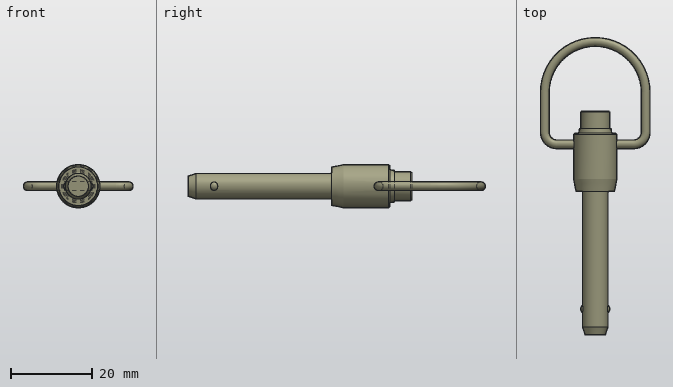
import cadquery as cq

shank_diameter = 6.35
shank_length = 35.3
tip_length = 2.0
tip_diameter = 5.0

root_fillet = 0.2

ball_diameter = 2.4
ball_from_tip = 6.4
ball_span = 7.2

body_diameter = 10.67
body_length = 14.3
body_nose_length = 2.95
body_nose_diameter = 9.5
body_edge_chamfer = 0.3

neck_base_diameter = 8.2
neck_end_diameter = 7.85
neck_length = 1.1
button_diameter = 7.2
button_length = 4.4
button_chamfer = 0.35

wire_diameter = 2.2
ring_width = 27.0
overall_length = 73.13
ring_corner_radius = 3.0
ring_bar_from_body_end = 2.75

shank_radius = shank_diameter / 2
body_radius = body_diameter / 2
neck_end = body_length + neck_length


def revolve_about_y(profile):
    return profile.close().revolve(360, (0, 0, 0), (0, 1, 0))


def make_shank():
    tip_radius = tip_diameter / 2
    tip_start = tip_length - shank_length
    profile = (
        cq.Workplane("XY")
        .moveTo(0, -shank_length)
        .lineTo(tip_radius, -shank_length)
        .lineTo(shank_radius, tip_start)
        .lineTo(shank_radius, -root_fillet)
        .radiusArc((shank_radius + root_fillet, 0), root_fillet)
        .lineTo(0, 0)
    )
    return revolve_about_y(profile)


def make_body():
    nose_radius = body_nose_diameter / 2
    profile = (
        cq.Workplane("XY")
        .lineTo(nose_radius, 0)
        .lineTo(body_radius, body_nose_length)
        .lineTo(body_radius, body_length - body_edge_chamfer)
        .lineTo(body_radius - body_edge_chamfer, body_length)
        .lineTo(0, body_length)
    )
    return revolve_about_y(profile)


def make_neck():
    profile = (
        cq.Workplane("XY")
        .moveTo(0, body_length)
        .lineTo(neck_base_diameter / 2, body_length)
        .lineTo(neck_end_diameter / 2, neck_end)
        .lineTo(0, neck_end)
    )
    return revolve_about_y(profile)


def make_button():
    button_radius = button_diameter / 2
    button_end = neck_end + button_length
    profile = (
        cq.Workplane("XY")
        .moveTo(0, neck_end)
        .lineTo(button_radius, neck_end)
        .lineTo(button_radius, button_end - button_chamfer)
        .lineTo(button_radius - button_chamfer, button_end)
        .lineTo(0, button_end)
    )
    return revolve_about_y(profile)


def make_balls():
    ball_y = ball_from_tip - shank_length
    ball_x = (ball_span - ball_diameter) / 2
    return (
        cq.Workplane("XY")
        .pushPoints([(-ball_x, ball_y), (ball_x, ball_y)])
        .sphere(ball_diameter / 2)
    )


def make_ring():
    bow_radius = (ring_width - wire_diameter) / 2
    bow_center = overall_length - shank_length - ring_width / 2
    bar_y = body_length - ring_bar_from_body_end
    corner_y = bar_y + ring_corner_radius
    corner_x = bow_radius - ring_corner_radius
    path = (
        cq.Workplane("XY")
        .moveTo(0, bar_y)
        .lineTo(corner_x, bar_y)
        .tangentArcPoint((bow_radius, corner_y), relative=False)
        .lineTo(bow_radius, bow_center)
        .tangentArcPoint((-bow_radius, bow_center), relative=False)
        .lineTo(-bow_radius, corner_y)
        .tangentArcPoint((-corner_x, bar_y), relative=False)
        .lineTo(0, bar_y)
    )
    wire_section = cq.Workplane("YZ").center(bar_y, 0).circle(wire_diameter / 2)
    return wire_section.sweep(path)


result = make_shank()
for feature in (make_body(), make_neck(), make_button(), make_balls(), make_ring()):
    result = result.union(feature)